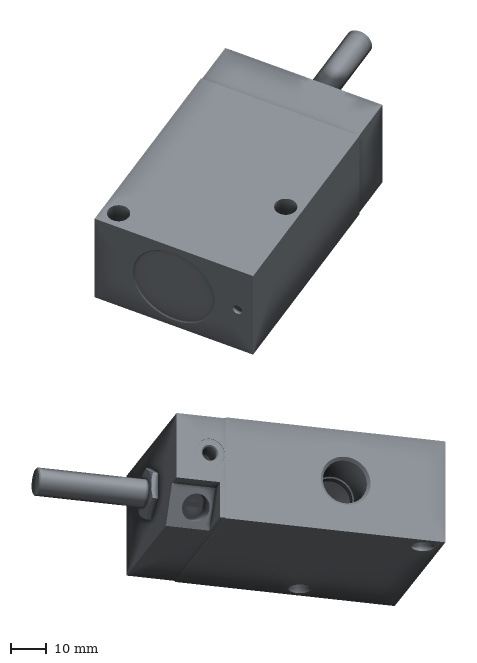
import cadquery as cq
import math

BODY_X = 50.0
BODY_Y = 64.0
BODY_Z = 30.4

CAP_INSET = 0.2
CAP_X = BODY_X - 2 * CAP_INSET
CAP_Z = BODY_Z - 2 * CAP_INSET
CAP_Y = 14.2

NUT_FLATS = 13.3
NUT_THICKNESS = 2.0
NUT_CHAMFER = 0.5
ROD_DIAMETER = 8.0
ROD_CHAMFER = 0.3
TOTAL_LENGTH = 112.0

MOUNT_DIAMETER = 6.5
MOUNT_X = 20.0
EDGE_DISTANCE = 5.0

PORT_Y = 29.0
PORT_MOUTH_DIAMETER = 14.5
PORT_DIAMETER = 12.8
PORT_DEPTH = 13.4
PORT_DRILL_DIAMETER = 11.8
PORT_DRILL_DEPTH = 15.7

PILOT_Y = BODY_Y + 4.5
PILOT_Z = 4.0
PILOT_RECESS_DIAMETER = 8.5
PILOT_RECESS_DEPTH = 0.17
PILOT_MOUTH_DIAMETER = 4.9
PILOT_DIAMETER = 4.1
PILOT_DEPTH = 6.7

DRILL_POINT_ANGLE = 118.0

NOTCH_HEIGHT = 10.5
NOTCH_LENGTH = 12.7
CEILING_DEPTH = 4.5
BEVEL_ANGLE = 30.0
BEVEL_SLOPE = math.tan(math.radians(BEVEL_ANGLE))

SCREW_DIAMETER = 8.0
SCREW_DEPTH = 6.6
SCREW_Y = BODY_Y + 6.4
SCREW_Z = -9.7
SLOT_WIDTH = 1.7
SLOT_DEPTH = 1.1

PLUG_DIAMETER = 25.9
PLUG_BEVEL = 0.3
VENT_DIAMETER = 3.0
VENT_DEPTH = 1.1


def cylinder(diameter, depth, start, direction):
    """Solid cylinder running from a start point along a direction."""
    return cq.Workplane(cq.Solid.makeCylinder(diameter / 2, depth, cq.Vector(*start), cq.Vector(*direction)))


def drilled_hole(x, y, z, steps):
    """Round tool turned about +X; steps are (depth, diameter) points, closed by a drill point."""
    last_depth, last_diameter = steps[-1]
    tip = last_depth + last_diameter / 2 / math.tan(math.radians(DRILL_POINT_ANGLE / 2))
    outline = [(0, 0)] + [(depth, diameter / 2) for depth, diameter in steps] + [(tip, 0)]
    turned = cq.Workplane("XY").polyline(outline).close().revolve(360, (0, 0, 0), (1, 0, 0))
    return turned.translate((x, y, z))


def make_body():
    return cq.Workplane("XY").box(BODY_X, BODY_Y, BODY_Z, centered=(True, False, True))


def make_cap():
    cap = cq.Workplane("XY").box(CAP_X, CAP_Y, CAP_Z, centered=(True, False, True))
    return cap.translate((0, BODY_Y, 0))


def make_nut():
    """Hexagon with corners at +Z and -Z, its outer corners turned off by a cone."""
    across_corners = NUT_FLATS / math.cos(math.radians(30))
    hexagon = cq.Workplane("XY").polygon(6, across_corners).extrude(NUT_THICKNESS)
    outline = [
        (0, 0),
        (across_corners / 2, 0),
        (across_corners / 2, NUT_THICKNESS - NUT_CHAMFER),
        (NUT_FLATS / 2, NUT_THICKNESS),
        (0, NUT_THICKNESS),
    ]
    turned = cq.Workplane("XZ").polyline(outline).close().revolve(360, (0, 0, 0), (0, 1, 0))
    nut = hexagon.intersect(turned).rotate((0, 0, 0), (0, 0, 1), 90)
    return nut.rotate((0, 0, 0), (1, 0, 0), -90).translate((0, BODY_Y + CAP_Y, 0))


def make_rod():
    rod_start = BODY_Y + CAP_Y
    rod = cylinder(ROD_DIAMETER, TOTAL_LENGTH - rod_start, (0, rod_start, 0), (0, 1, 0))
    return rod.faces(">Y").chamfer(ROD_CHAMFER)


def mounting_holes():
    left = cylinder(MOUNT_DIAMETER, BODY_Z, (-MOUNT_X, EDGE_DISTANCE, -BODY_Z / 2), (0, 0, 1))
    right = cylinder(MOUNT_DIAMETER, BODY_Z, (MOUNT_X, PORT_Y, -BODY_Z / 2), (0, 0, 1))
    return left.union(right)


def side_port():
    mouth_depth = (PORT_MOUTH_DIAMETER - PORT_DIAMETER) / 2
    steps = [
        (0, PORT_MOUTH_DIAMETER),
        (mouth_depth, PORT_DIAMETER),
        (PORT_DEPTH, PORT_DIAMETER),
        (PORT_DEPTH, PORT_DRILL_DIAMETER),
        (PORT_DRILL_DEPTH, PORT_DRILL_DIAMETER),
    ]
    return drilled_hole(-BODY_X / 2, PORT_Y, 0, steps)


def pilot_port():
    mouth_depth = (PILOT_MOUTH_DIAMETER - PILOT_DIAMETER) / 2
    steps = [
        (0, PILOT_RECESS_DIAMETER),
        (PILOT_RECESS_DEPTH, PILOT_RECESS_DIAMETER),
        (PILOT_RECESS_DEPTH, PILOT_MOUTH_DIAMETER),
        (PILOT_RECESS_DEPTH + mouth_depth, PILOT_DIAMETER),
        (PILOT_DEPTH, PILOT_DIAMETER),
    ]
    return drilled_hole(-CAP_X / 2, PILOT_Y, PILOT_Z, steps)


def bevel_depth(z):
    """Depth of the bevel behind the -X side of the cap at a given height."""
    ceiling_z = NOTCH_HEIGHT - CAP_Z / 2
    return CEILING_DEPTH + (ceiling_z - z) * BEVEL_SLOPE


def bevel_notch():
    """Undercut below the ceiling, deepening downwards and open at the far end of the cap."""
    bottom_depth = bevel_depth(-CAP_Z / 2)
    corners = [(0, 0), (bottom_depth, 0), (CEILING_DEPTH, NOTCH_HEIGHT), (0, NOTCH_HEIGHT)]
    notch = cq.Workplane("XZ").polyline(corners).close().extrude(-NOTCH_LENGTH)
    return notch.translate((-CAP_X / 2, BODY_Y + CAP_Y - NOTCH_LENGTH, -CAP_Z / 2))


def screw_hole():
    """Hole down to the screw head, with the driver slot below it, made along +X and then tilted."""
    screw_x = bevel_depth(SCREW_Z) - CAP_X / 2
    bore = cylinder(SCREW_DIAMETER, SCREW_DEPTH, (0, 0, 0), (1, 0, 0))
    slot = cq.Workplane("XY").box(SLOT_DEPTH, SCREW_DIAMETER, SLOT_WIDTH, centered=(False, True, True))
    slot = slot.translate((SCREW_DEPTH, 0, 0))
    head = cylinder(SCREW_DIAMETER, SLOT_DEPTH, (SCREW_DEPTH, 0, 0), (1, 0, 0))
    tool = bore.union(slot.intersect(head))
    return tool.rotate((0, 0, 0), (0, 1, 0), -BEVEL_ANGLE).translate((screw_x, SCREW_Y, SCREW_Z))


def plug_recess():
    floor_radius = PLUG_DIAMETER / 2 - PLUG_BEVEL
    origin = cq.Vector(0, 0, 0)
    cone = cq.Solid.makeCone(PLUG_DIAMETER / 2, floor_radius, PLUG_BEVEL, origin, cq.Vector(0, 1, 0))
    return cq.Workplane(cone)


def vent_hole():
    return cylinder(VENT_DIAMETER, VENT_DEPTH, (MOUNT_X, 0, 0), (0, 1, 0))


result = make_body().union(make_cap()).union(make_nut()).union(make_rod())
for cutter in (
    mounting_holes(),
    side_port(),
    pilot_port(),
    bevel_notch(),
    screw_hole(),
    plug_recess(),
    vent_hole(),
):
    result = result.cut(cutter)